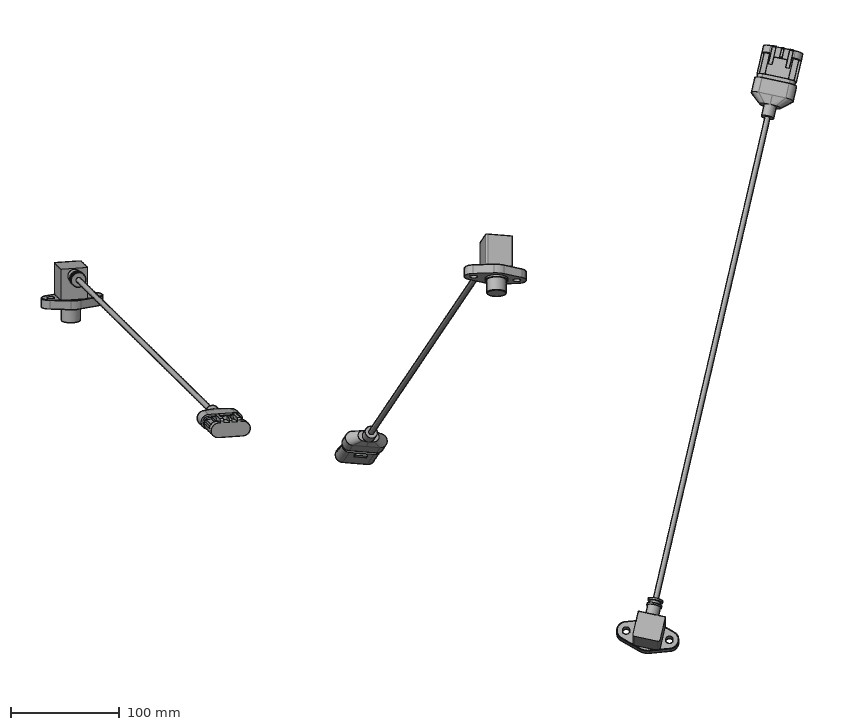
import cadquery as cq
import math


hub_radius = 15.0
ear_radius = 9.0
half_span = 29.0
ear_offset = half_span - ear_radius
screw_hole_diameter = 7.0
flange_center_y = 1.0
flange_top = -22.5
flange_thickness = 9.0
flange_chamfer = 0.5
flange_bottom = flange_top - flange_thickness

housing_length = 24.5
housing_width = 25.5
housing_top = 7.0
housing_corner_radius = 2.0
collar_diameter = 21.0
collar_height = 2.0
tip_diameter = 18.0
tip_bottom = -46.0
tip_chamfer = 0.5

outlet_diameter = 12.0
outlet_rib_diameter = 14.0
outlet_rib_width = 2.0
outlet_rib_starts = (21.5, 26.0)
outlet_end = outlet_rib_starts[-1] + outlet_rib_width
outlet_neck_diameter = 10.0

cable_diameter = 5.0

boot_start = 500.0
boot_sleeve_diameter = 11.5
taper_start = 511.0
taper_start_width = 20.0
taper_ridge_slope = 8.0
boot_block_start = 520.0
boot_block_end = 534.5
boot_width = 39.5
boot_height = 14.0

overall_length = 581.0
plug_end = overall_length - hub_radius
plug_neck_length = 4.0
plug_neck_width = 36.0
plug_neck_height = 10.5
plug_body_start = boot_block_end + plug_neck_length
plug_width = 37.0
plug_height = 14.0
plug_rim_start = 559.0
plug_deck_height = 6.0
ledge_height = 0.5
ledge_wall_y = 16.0
shoulder_height = 3.5
shoulder_wall_y = 11.0

latch_top = 10.5
latch_start = 547.0
latch_half_width = 10.0
latch_slot_half_width = 6.5
latch_rib_start = 556.0
latch_rib_width = 2.5
latch_slot_floor = 7.0
latch_slope = 3.5
latch_end_chamfer = 2.0

bump_length = 4.5
bump_width = 11.5
bump_depth = 2.0
bump_inset = 1.0
bump_start = plug_body_start + bump_inset


def disc(diameter, bottom, top):
    """Upright cylinder about the Z axis."""
    return cq.Workplane("XY", origin=(0, 0, bottom)).circle(diameter / 2).extrude(top - bottom)


def rod(diameter, start, end):
    """Cylinder about the X axis."""
    return cq.Workplane("YZ", origin=(start, 0, 0)).circle(diameter / 2).extrude(end - start)


def flat_bar(width, height, start, end):
    """Bar along X whose section is a slot shape with fully round sides."""
    return cq.Workplane("YZ", origin=(start, 0, 0)).slot2D(width, height).extrude(end - start)


def block(x_range, y_range, z_range):
    """Box between the given limits."""
    sizes = [high - low for low, high in (x_range, y_range, z_range)]
    corner = (x_range[0], y_range[0], z_range[0])
    return cq.Workplane("XY").box(*sizes, centered=False).translate(corner)


def make_flange():
    """Hub circle joined to both ear circles by tangent lines."""
    lean = math.asin((hub_radius - ear_radius) / ear_offset)
    hub_x = hub_radius * math.cos(lean)
    hub_y = hub_radius * math.sin(lean)
    ear_x = ear_radius * math.cos(lean)
    ear_y = ear_offset + ear_radius * math.sin(lean)
    return (
        cq.Workplane("XY", origin=(0, 0, flange_bottom))
        .moveTo(hub_x, -hub_y)
        .threePointArc((hub_radius, 0), (hub_x, hub_y))
        .lineTo(ear_x, ear_y)
        .threePointArc((0, half_span), (-ear_x, ear_y))
        .lineTo(-hub_x, hub_y)
        .threePointArc((-hub_radius, 0), (-hub_x, -hub_y))
        .lineTo(-ear_x, -ear_y)
        .threePointArc((0, -half_span), (ear_x, -ear_y))
        .close()
        .extrude(flange_thickness)
        .faces(">Z")
        .chamfer(flange_chamfer)
        .faces(">Z")
        .workplane(origin=(0, 0, flange_top))
        .pushPoints([(0, ear_offset), (0, -ear_offset)])
        .hole(screw_hole_diameter)
    )


def make_sensor_head():
    """Housing, flange, collar and sensing tip."""
    half_length = housing_length / 2
    half_width = housing_width / 2
    housing = block((-half_length, half_length), (-half_width, half_width), (flange_top, housing_top))
    housing = housing.edges("|Z and <X").fillet(housing_corner_radius)
    collar = disc(collar_diameter, flange_bottom - collar_height, flange_bottom)
    tip = disc(tip_diameter, tip_bottom, flange_bottom).faces("<Z").chamfer(tip_chamfer)
    return make_flange().translate((0, flange_center_y, 0)).union(housing).union(collar).union(tip)


def make_cable_outlet():
    """Stepped sleeve with ribs around the cable."""
    outlet = rod(outlet_diameter, 0, outlet_rib_starts[0])
    outlet = outlet.union(rod(outlet_neck_diameter, 0, outlet_end))
    for start in outlet_rib_starts:
        outlet = outlet.union(rod(outlet_rib_diameter, start, start + outlet_rib_width))
    return outlet


def ridged_section(x, width, height, slope):
    """Wire of a round-sided slot shape whose top and bottom slope down from a ridge in the middle."""
    lean = math.radians(slope)
    ridge = height / 2
    side = width / 2
    radius = (ridge * math.cos(lean) - side * math.sin(lean)) / (1 - math.sin(lean))
    shoulder_y = side - radius + radius * math.sin(lean)
    shoulder = radius * math.cos(lean)
    return (
        cq.Workplane("YZ", origin=(x, 0, 0))
        .moveTo(0, ridge)
        .lineTo(shoulder_y, shoulder)
        .threePointArc((side, 0), (shoulder_y, -shoulder))
        .lineTo(0, -ridge)
        .lineTo(-shoulder_y, -shoulder)
        .threePointArc((-side, 0), (-shoulder_y, shoulder))
        .close()
        .val()
    )


def make_boot():
    """Sleeve, widening taper and flat block."""
    sleeve = rod(boot_sleeve_diameter, boot_start, boot_block_start)
    small_end = ridged_section(taper_start, taper_start_width, boot_sleeve_diameter, taper_ridge_slope)
    large_end = ridged_section(boot_block_start, boot_width, boot_height, 0)
    taper = cq.Workplane(cq.Solid.makeLoft([small_end, large_end], True))
    return sleeve.union(taper).union(flat_bar(boot_width, boot_height, boot_block_start, boot_block_end))


def make_cable_assembly():
    """Sensor head, outlet, cable and boot moulded as one solid."""
    cable = rod(cable_diameter, 0, boot_start)
    return make_sensor_head().union(make_cable_outlet()).union(cable).union(make_boot())


def make_latch():
    """Tower with a sloped lead-in; a slot splits it into two rails beside a central rib."""
    tower = (
        cq.Workplane("XZ", origin=(0, latch_half_width, 0))
        .moveTo(latch_start + latch_slope, 0)
        .lineTo(latch_start + latch_slope, latch_top - latch_slope)
        .lineTo(latch_start, latch_top)
        .lineTo(plug_end - latch_end_chamfer, latch_top)
        .lineTo(plug_end, latch_top - latch_end_chamfer)
        .lineTo(plug_end, 0)
        .close()
        .extrude(2 * latch_half_width)
    )
    for side in (-1, 1):
        slot = sorted((side * latch_rib_width / 2, side * latch_slot_half_width))
        tower = tower.cut(block((latch_rib_start, plug_end), slot, (latch_slot_floor, latch_top)))
    lead_in = (-latch_slot_half_width, latch_slot_half_width)
    return tower.cut(block((latch_start, latch_rib_start), lead_in, (plug_deck_height, latch_top)))


def make_plug():
    """Plug body with stepped sides, latch tower and locating bump."""
    plug = flat_bar(plug_width, plug_height, plug_body_start, plug_end)
    stepped = (plug_body_start, plug_rim_start)
    half_height = plug_height / 2
    plug = plug.cut(
        block(stepped, (-shoulder_wall_y, shoulder_wall_y), (plug_deck_height, half_height))
    )
    half_width = plug_width / 2
    for side in (-1, 1):
        ledge = sorted((side * ledge_wall_y, side * half_width))
        shoulder = sorted((side * shoulder_wall_y, side * half_width))
        plug = plug.cut(block(stepped, ledge, (ledge_height, half_height)))
        plug = plug.cut(block(stepped, shoulder, (shoulder_height, half_height)))
    neck = flat_bar(plug_neck_width, plug_neck_height, boot_block_end, plug_body_start)
    bump = block(
        (bump_start, bump_start + bump_length),
        (-bump_width / 2, bump_width / 2),
        (-half_height - bump_depth, 0),
    )
    return plug.union(neck).union(make_latch()).union(bump)


cable_assembly = make_cable_assembly()
plug = make_plug()
result = cq.Compound.makeCompound([cable_assembly.val(), plug.val()])